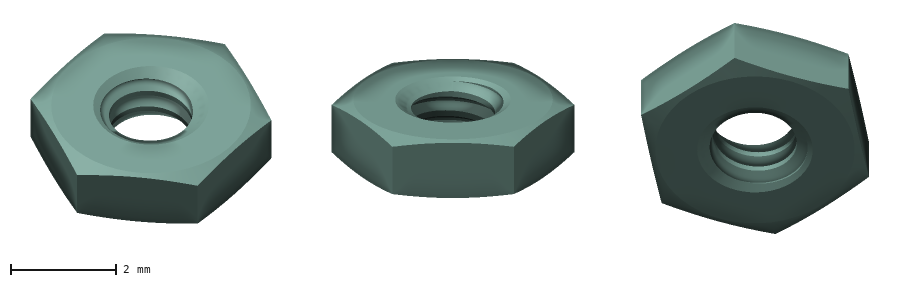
import cadquery as cq
import math

across_corners = 4.62
thickness = 1.2
face_radius = 1.9
corner_angle = 15.0

bore_radius = 0.8
major_radius = 1.003
pitch = 0.4
flank_angle = 30.0
root_width = pitch / 8

sink_radius = 1.1
sink_slope = math.tan(math.radians(30.0))
sink_depth = (sink_radius - bore_radius) * sink_slope

runout_angle = -30.0
turns_below = 3.0
turns_above = 0.5
overlap = 0.025


def make_hexagon():
    prism = cq.Workplane("XY").polygon(6, across_corners).extrude(thickness)
    corner_radius = across_corners / 2
    drop = (corner_radius - face_radius) * math.tan(math.radians(corner_angle))
    envelope = (
        cq.Workplane("XZ")
        .moveTo(0, 0)
        .lineTo(face_radius, 0)
        .lineTo(corner_radius, drop)
        .lineTo(corner_radius, thickness - drop)
        .lineTo(face_radius, thickness)
        .lineTo(0, thickness)
        .close()
        .revolve(360, (0, 0), (0, 1))
    )
    return prism.intersect(envelope)


def make_bore():
    return cq.Workplane("XY").circle(bore_radius).extrude(thickness)


def make_countersinks():
    """Cones at both ends, joined by a core as wide as the bore."""
    return (
        cq.Workplane("XZ")
        .moveTo(0, 0)
        .lineTo(sink_radius, 0)
        .lineTo(bore_radius, sink_depth)
        .lineTo(bore_radius, thickness - sink_depth)
        .lineTo(sink_radius, thickness)
        .lineTo(0, thickness)
        .close()
        .revolve(360, (0, 0), (0, 1))
    )


def make_thread_cutter():
    flank_slope = math.tan(math.radians(flank_angle))
    inner_radius = bore_radius - overlap
    root_half = root_width / 2
    bore_half = root_half + (major_radius - bore_radius) * flank_slope
    inner_half = root_half + (major_radius - inner_radius) * flank_slope

    start_height = thickness - sink_depth + bore_half - turns_below * pitch
    path = cq.Wire.makeHelix(pitch, (turns_below + turns_above) * pitch, bore_radius)
    groove = (
        cq.Workplane("XZ")
        .moveTo(inner_radius, -inner_half)
        .lineTo(major_radius, -root_half)
        .lineTo(major_radius, root_half)
        .lineTo(inner_radius, inner_half)
        .close()
        .sweep(cq.Workplane(path), isFrenet=True)
    )
    return groove.rotate((0, 0, 0), (0, 0, 1), runout_angle).translate((0, 0, start_height))


result = make_hexagon().cut(make_bore()).cut(make_thread_cutter()).cut(make_countersinks())